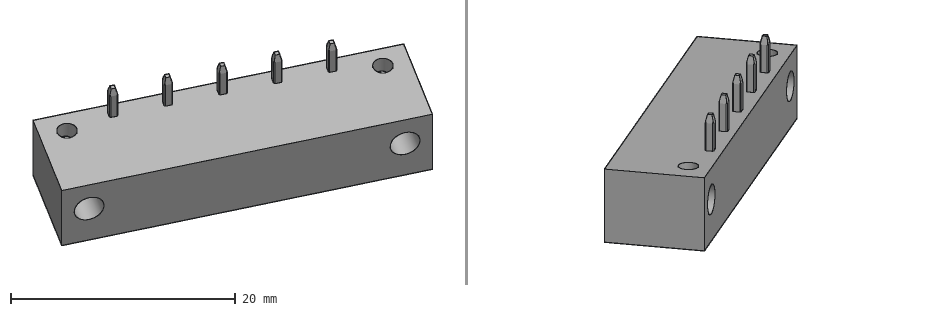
import cadquery as cq

length = 34.42
width = 9.2
body_height = 7.0

hole_end_distance = 2.55
cross_hole_diameter = 2.75
cross_hole_depth_from_top = 3.0
vertical_hole_diameter = 1.82
vertical_hole_side_distance = 2.1

rib_length = 25.4
rib_height = 0.25
rib_start = 5.58
rib_width = 0.4
rib_bevel_width = 0.15
rib_bevel_height = 0.17

pin_count = 5
pin_pitch = rib_length / pin_count
pin_width = 0.8
pin_corner_bevel = 0.1
pin_height = 3.4
pin_side_distance = 1.2
pin_tip_height = 0.8
pin_tip_width = 0.4


def make_body():
    """Block centred on X and Y, with its bottom face at Z = 0."""
    return cq.Workplane("XY").box(width, length, body_height, centered=(True, True, False))


def make_end_holes():
    """Cutters for both pairs of through holes."""
    hole_y = length / 2 - hole_end_distance
    positions = [-hole_y, hole_y]
    cross_z = body_height - cross_hole_depth_from_top
    cross = (
        cq.Workplane("YZ", origin=(-width / 2, 0, cross_z))
        .pushPoints([(y, 0) for y in positions])
        .circle(cross_hole_diameter / 2)
        .extrude(width)
    )
    vertical_x = vertical_hole_side_distance - width / 2
    vertical = (
        cq.Workplane("XY", origin=(vertical_x, 0, 0))
        .pushPoints([(0, y) for y in positions])
        .circle(vertical_hole_diameter / 2)
        .extrude(body_height)
    )
    return cross.union(vertical)


def make_pin(y):
    """Pin with bevelled corners and a tapered tip, standing on the top face."""
    x = pin_side_distance - width / 2
    shank_height = pin_height - pin_tip_height
    pin = (
        cq.Workplane("XY", origin=(x, y, body_height))
        .rect(pin_width, pin_width)
        .extrude(pin_height)
        .edges("|Z")
        .chamfer(pin_corner_bevel)
    )
    tip_envelope = (
        cq.Workplane("XY", origin=(x, y, body_height + shank_height))
        .rect(pin_width, pin_width)
        .workplane(offset=pin_tip_height)
        .rect(pin_tip_width, pin_tip_width)
        .loft(ruled=True)
    )
    shank_envelope = (
        cq.Workplane("XY", origin=(x, y, body_height))
        .rect(pin_width, pin_width)
        .extrude(shank_height)
    )
    return pin.intersect(shank_envelope.union(tip_envelope))


def make_rib():
    """Thin rib under the block, bevelled along its lower -X edge."""
    left = rib_start - width / 2
    right = left + rib_width
    outline = [
        (left, 0),
        (right, 0),
        (right, -rib_height),
        (left + rib_bevel_width, -rib_height),
        (left, rib_bevel_height - rib_height),
    ]
    return cq.Workplane("XZ").polyline(outline).close().extrude(rib_length / 2, both=True)


result = make_body().union(make_rib()).cut(make_end_holes())
for index in range(pin_count):
    pin_y = (index - (pin_count - 1) / 2) * pin_pitch
    result = result.union(make_pin(pin_y))